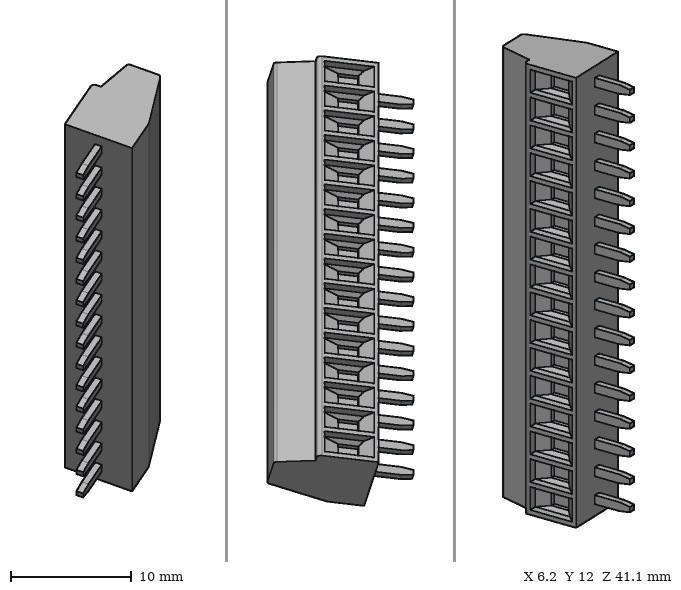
import cadquery as cq

POLE_COUNT = 16
LENGTH = 41.1
END_MARGIN = 1.5
PITCH = (LENGTH - 2 * END_MARGIN) / (POLE_COUNT - 1)

WIDTH = 6.2
HEIGHT = 8.5
LEDGE_HEIGHT = 5.18
LEDGE_WIDTH = 0.8
TOP_LEFT = 1.65
TOP_RIGHT = 4.65
REAR_WALL_HEIGHT = 3.12
TOP_RADIUS = 0.3
LEDGE_RADIUS = 0.35

PIN_LENGTH = 3.5
PIN_THICKNESS = 0.6
PIN_WIDTH = 0.82
PIN_TIP_WIDTH = 0.5
PIN_TAPER_LENGTH = 1.03
PIN_X = WIDTH / 2

POCKET_BOTTOM = 0.35
POCKET_TOP = 4.55
POCKET_WIDTH = 2.1
FUNNEL_STRAIGHT = 0.75
HOLE_BOTTOM = 1.5
HOLE_TOP = 3.2
HOLE_WIDTH = 1.45
FUNNEL_DEPTH = HOLE_BOTTOM - POCKET_BOTTOM
HOLE_DEPTH = 1.52


def make_housing():
    outline = [
        (0, 0),
        (WIDTH, 0),
        (WIDTH, REAR_WALL_HEIGHT),
        (TOP_RIGHT, HEIGHT),
        (TOP_LEFT, HEIGHT),
        (LEDGE_WIDTH, LEDGE_HEIGHT),
        (0, LEDGE_HEIGHT),
    ]
    rounded_corners = [
        (TOP_RIGHT, HEIGHT, TOP_RADIUS),
        (TOP_LEFT, HEIGHT, TOP_RADIUS),
        (0, LEDGE_HEIGHT, LEDGE_RADIUS),
    ]
    housing = cq.Workplane("XY").polyline(outline).close().extrude(LENGTH)
    for x, y, radius in rounded_corners:
        corner_edge = cq.selectors.NearestToPointSelector((x, y, LENGTH / 2))
        housing = housing.edges("|Z").edges(corner_edge).fillet(radius)
    return housing


def make_wire_entry():
    """Cutter for one pocket and its wire hole, centred on z = 0."""
    side_profile = [
        (0, POCKET_BOTTOM),
        (FUNNEL_DEPTH, HOLE_BOTTOM),
        (FUNNEL_DEPTH, HOLE_TOP),
        (FUNNEL_STRAIGHT, POCKET_TOP),
        (0, POCKET_TOP),
    ]
    plan_profile = [
        (0, -POCKET_WIDTH / 2),
        (FUNNEL_STRAIGHT, -POCKET_WIDTH / 2),
        (FUNNEL_DEPTH, -HOLE_WIDTH / 2),
        (FUNNEL_DEPTH, HOLE_WIDTH / 2),
        (FUNNEL_STRAIGHT, POCKET_WIDTH / 2),
        (0, POCKET_WIDTH / 2),
    ]
    side = cq.Workplane("XY").polyline(side_profile).close().extrude(POCKET_WIDTH / 2, both=True)
    plan = cq.Workplane("XZ").polyline(plan_profile).close().extrude(-HEIGHT)
    hole = (
        cq.Workplane("XY")
        .box(HOLE_DEPTH - FUNNEL_DEPTH, HOLE_TOP - HOLE_BOTTOM, HOLE_WIDTH, centered=(False, False, True))
        .translate((FUNNEL_DEPTH, HOLE_BOTTOM, 0))
    )
    return side.intersect(plan).union(hole)


def make_pin():
    """One pin hanging below the board face, centred on z = 0."""
    taper_start = PIN_TAPER_LENGTH - PIN_LENGTH
    outline = [
        (0, -PIN_WIDTH / 2),
        (taper_start, -PIN_WIDTH / 2),
        (-PIN_LENGTH, -PIN_TIP_WIDTH / 2),
        (-PIN_LENGTH, PIN_TIP_WIDTH / 2),
        (taper_start, PIN_WIDTH / 2),
        (0, PIN_WIDTH / 2),
    ]
    return (
        cq.Workplane("YZ", origin=(PIN_X, 0, 0))
        .polyline(outline)
        .close()
        .extrude(PIN_THICKNESS / 2, both=True)
    )


result = make_housing()
wire_entry = make_wire_entry()
pin = make_pin()
for pole in range(POLE_COUNT):
    pole_centre = (0, 0, END_MARGIN + pole * PITCH)
    result = result.cut(wire_entry.translate(pole_centre))
    result = result.union(pin.translate(pole_centre))